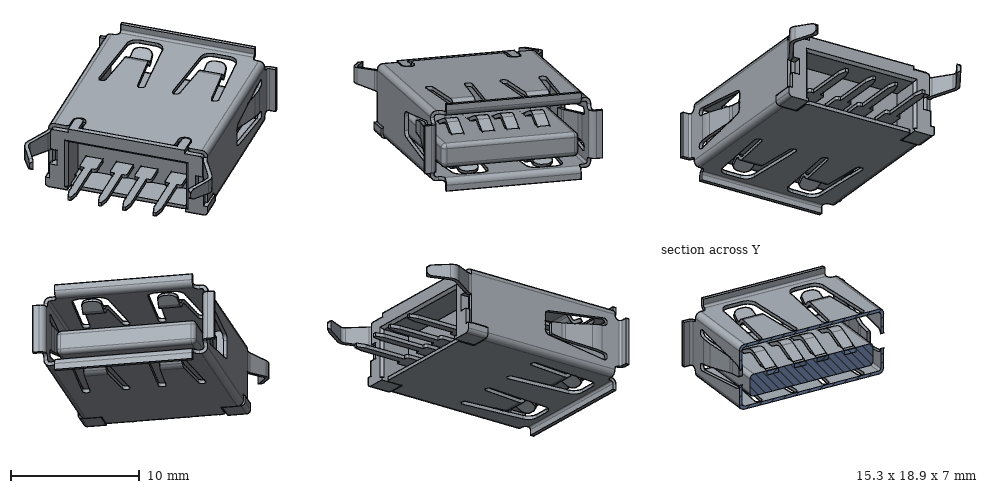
import cadquery as cq
import math


SHEET = 0.3
BEND_RADIUS = 0.19
OUTER_BEND_RADIUS = BEND_RADIUS + SHEET
SHELL_WIDTH = 13.05
SHELL_HEIGHT = 5.65
HALF_WIDTH = SHELL_WIDTH / 2
HALF_HEIGHT = SHELL_HEIGHT / 2
INNER_HALF_WIDTH = HALF_WIDTH - SHEET
INNER_HALF_HEIGHT = HALF_HEIGHT - SHEET
MOUTH_Y = 14.97
SHELL_FRONT_Y = 0.42
TUBE_END_Y = 14.12

FLANGED_HEIGHT = 7.0
FLANGED_WIDTH = 14.44
WIDE_FLANGE = 10.96
SIDE_FLANGE = 3.85
FLANGE_FILLET = 0.4

TOP_SPRING_X = 3.02
TOP_SPRING_ROOT_Y = 7.8
TOP_SLOT_WIDTH = 0.6
TOP_SLOT_SPACING = 1.59
TOP_WINDOW_TAPER = 0.08
TOP_SPRING_TAPER = 0.1
TOP_WINDOW_LENGTH = 6.18
TOP_WINDOW_CORNER = 0.81
TOP_SPRING_TIP_RADIUS = 0.72
TOP_SPRING_LENGTH = 5.25
TOP_SPRING_DROP_START = 3.67
TOP_SPRING_VALLEY = 4.21
TOP_SPRING_VALLEY_DEPTH = 0.6
TOP_SPRING_TIP_DEPTH = 0.02
TOP_SPRING_DROP_RADIUS = 0.38

SIDE_SPRING_ROOT_Y = 13.06
SIDE_SLOT_WIDTH = 0.62
SIDE_SLOT_SPACING = 1.45
SIDE_SPRING_TAPER = 0.14
SIDE_WINDOW_LENGTH = 5.61
SIDE_WINDOW_CORNER = 0.45
SIDE_SPRING_TIP_RADIUS = 0.15
SIDE_SPRING_LENGTH = 4.57
SIDE_SPRING_DROP_START = 0.6
SIDE_SPRING_VALLEY = 3.42
SIDE_SPRING_VALLEY_DEPTH = 0.6
SIDE_SPRING_DROP_RADIUS = 3.69
SIDE_SPRING_VALLEY_RADIUS = 1.63

U_SLOT_X = 4.33
U_SLOT_WIDTH = 1.08
U_SLOT_END_Y = 1.83
SLOT_MOUTH_FILLET = 0.2
POST_X = 4.4
POST_WIDTH = 0.74
POST_END_Y = 1.74

FOOT_NOTCH_X = 4.75
FOOT_NOTCH_END_Y = 1.89
FOOT_NOTCH_TOP_Z = -1.85
FOOT_OUTER_X = 6.65
FOOT_TOP_Z = -1.97
FOOT_BOTTOM_Z = -2.8
FOOT_END_Y = 1.87
FOOT_RADIUS = 0.32

LEG_REACH = 7.64
LEG_ANGLE = 30.0
LEG_TIP_Y = -3.93
LEG_ELBOW_RADIUS = 0.5
LEG_ROOT_RADIUS = LEG_ELBOW_RADIUS + SHEET
LEG_TOP_Z = 2.29
LEG_BOTTOM_Z = 0.51
LEG_TIP_TOP_Z = 1.85
LEG_TIP_BOTTOM_Z = 1.0
LEG_TIP_RADIUS = 0.4

HOUSING_END_Y = 4.54
BACK_WALL_Y = 2.57
OPENING_HALF_WIDTH = 4.84
OPENING_TOP_Z = 1.53
OPENING_CHAMFER = 0.23
BODY_BOTTOM_Z = -2.38
RIM_HALF_WIDTH = 4.76
CHEEK_HALF_WIDTH = 6.31
SIDE_NOTCH_X = 5.67
SIDE_NOTCH_HALF_HEIGHT = 0.68
SIDE_NOTCH_DEPTH = 0.7
SIDE_NOTCH_RAMP_WIDTH = 0.17
TONGUE_HALF_WIDTH = 5.55
TONGUE_TOP_Z = 0.04
TONGUE_BOTTOM_Z = -1.89
TONGUE_END_Y = 14.14
TONGUE_RADIUS = 0.35

CIRCUIT_X = (-3.5, -1.0, 1.0, 3.5)
PIN_WIDTH = 0.62
PIN_THICKNESS = 0.3
PIN_Z = -1.23
PIN_TIP_Y = -3.45
PIN_TAPER_Y = -2.7
PIN_TIP_WIDTH = 0.25
PAD_WIDTH = 1.4
PAD_FRONT_Y = 0.96
PAD_END_Y = 3.4
PAD_CORNER = 0.19
CONTACT_WIDTH = 1.0
CONTACT_THICKNESS = 0.3
CONTACT_ROOT_Y = 5.67
CONTACT_RISE_Y = 7.56
CONTACT_CREST_Y = 9.9
CONTACT_CREST_HEIGHT = 0.87
CONTACT_TIP_Y = 11.9
CONTACT_DEPTH = 0.08
CONTACT_TIP_DEPTH = 0.19
CONTACT_CREST_RADIUS = 0.75


def box(x0, x1, y0, y1, z0, z1):
    return cq.Workplane("XY").box(x1 - x0, y1 - y0, z1 - z0, centered=False).translate((x0, y0, z0))


def both_sides(solid):
    """The solid together with its mirror image across X = 0."""
    return solid.union(solid.mirror("YZ"))


def outline(plane, corners):
    """Closed outline through (u, v, radius) corners, each rounded by its radius."""
    stops = []
    for i, (u, v, radius) in enumerate(corners):
        here = cq.Vector(u, v)
        before = (cq.Vector(*corners[i - 1][:2]) - here).normalized()
        after = (cq.Vector(*corners[(i + 1) % len(corners)][:2]) - here).normalized()
        if radius == 0:
            stops.append((here, None, here))
            continue
        half_angle = before.getAngle(after) / 2
        tangent = radius / math.tan(half_angle)
        sagitta = radius / math.sin(half_angle) - radius
        middle = here + (before + after).normalized() * sagitta
        stops.append((here + before * tangent, middle, here + after * tangent))
    wire = cq.Workplane(plane).moveTo(*stops[-1][2].toTuple()[:2])
    for entry, middle, leave in stops:
        wire = wire.lineTo(*entry.toTuple()[:2])
        if middle is not None:
            wire = wire.threePointArc(middle.toTuple()[:2], leave.toTuple()[:2])
    return wire.close()


def strip_corners(path, thickness):
    """Outline corners of a bent strip: `path` is one face, the metal lies on its left.

    Each path point is (u, v, inside bend radius)."""
    points = [cq.Vector(u, v) for u, v, _ in path]
    steps = [(end - start).normalized() for start, end in zip(points, points[1:])]
    near = []
    far = []
    for i, point in enumerate(points):
        step_in = steps[max(i - 1, 0)]
        step_out = steps[min(i, len(steps) - 1)]
        normal_in = cq.Vector(-step_in.y, step_in.x)
        normal_out = cq.Vector(-step_out.y, step_out.x)
        miter = normal_in + normal_out
        offset = point + miter * (thickness / (1 + normal_in.dot(normal_out)))
        turns_left = step_in.cross(step_out).z > 0
        bend = path[i][2]
        outer_bend = bend + thickness if bend else 0
        near.append((point.x, point.y, outer_bend if turns_left else bend))
        far.append((offset.x, offset.y, bend if turns_left else outer_bend))
    return near + far[::-1]


def tapered_tongue(plane, half_width, taper, length, corner):
    """Outline from v = 0, `half_width` wide there, narrowing to rounded corners at v = length."""
    tip = half_width - taper * length
    root_corners = [(-half_width, 0, 0), (half_width, 0, 0)]
    tip_corners = [(tip, length, corner), (-tip, length, corner)]
    return outline(plane, root_corners + tip_corners)


def spring_window(spacing, slot_width, taper, length, corner):
    """Cutter for the window around a spring, its root at the origin and its tip towards +Y."""
    reach = 4 * SHEET
    window = tapered_tongue("XY", spacing + slot_width / 2, taper, length, corner).extrude(reach, both=True)
    root_ends = (
        cq.Workplane("XY")
        .pushPoints([(-spacing, 0), (spacing, 0)])
        .circle(slot_width / 2)
        .extrude(reach, both=True)
    )
    return window.union(root_ends)


def bent_spring(half_width, taper, length, tip_radius, path):
    """Bent leaf with its outer face at Z = 0 at the root; `path` follows that face."""
    profile = outline("YZ", strip_corners(path[::-1], SHEET)).extrude(half_width, both=True)
    plan = tapered_tongue("XY", half_width, taper, 2 * length, 0).extrude(length, both=True)

    (valley_y, valley_z, _), (tip_y, tip_z, _) = path[-2:]
    tilt = math.degrees(math.atan2(tip_z - valley_z, tip_y - valley_y))
    tip_shape = tapered_tongue("XY", half_width + taper * length, 2 * taper, length, tip_radius)
    tip_shape = tip_shape.extrude(length, both=True).rotate((0, length, 0), (1, length, 0), tilt)
    return profile.intersect(plan).intersect(tip_shape.translate((0, 0, tip_z)))


def top_spring_parts():
    window = spring_window(
        TOP_SLOT_SPACING, TOP_SLOT_WIDTH, TOP_WINDOW_TAPER, TOP_WINDOW_LENGTH, TOP_WINDOW_CORNER
    )
    path = [
        (0, 0, 0),
        (TOP_SPRING_DROP_START, 0, TOP_SPRING_DROP_RADIUS),
        (TOP_SPRING_VALLEY, -TOP_SPRING_VALLEY_DEPTH, BEND_RADIUS),
        (TOP_SPRING_LENGTH, -TOP_SPRING_TIP_DEPTH, 0),
    ]
    leaf = bent_spring(
        TOP_SLOT_SPACING - TOP_SLOT_WIDTH / 2,
        TOP_SPRING_TAPER,
        TOP_SPRING_LENGTH,
        TOP_SPRING_TIP_RADIUS,
        path,
    )
    place = (TOP_SPRING_X, TOP_SPRING_ROOT_Y, HALF_HEIGHT)
    return window.translate(place), leaf.translate(place)


def side_spring_parts():
    window = spring_window(
        SIDE_SLOT_SPACING, SIDE_SLOT_WIDTH, SIDE_SPRING_TAPER, SIDE_WINDOW_LENGTH, SIDE_WINDOW_CORNER
    )
    path = [
        (0, 0, 0),
        (SIDE_SPRING_DROP_START, 0, SIDE_SPRING_DROP_RADIUS),
        (SIDE_SPRING_VALLEY, -SIDE_SPRING_VALLEY_DEPTH, SIDE_SPRING_VALLEY_RADIUS),
        (SIDE_SPRING_LENGTH, -SIDE_SPRING_VALLEY_DEPTH, 0),
    ]
    leaf = bent_spring(
        SIDE_SLOT_SPACING - SIDE_SLOT_WIDTH / 2,
        SIDE_SPRING_TAPER,
        SIDE_SPRING_LENGTH,
        SIDE_SPRING_TIP_RADIUS,
        path,
    )

    def turned_to_side(solid):
        origin = (0, 0, 0)
        facing_mouth = solid.rotate(origin, (0, 1, 0), 90).rotate(origin, (1, 0, 0), 180)
        return facing_mouth.translate((HALF_WIDTH, SIDE_SPRING_ROOT_Y, 0))

    return turned_to_side(window), turned_to_side(leaf)


def flange(length, face_distance, rim_distance):
    """Flared flange on a face `face_distance` above the axis, ending at `rim_distance`."""
    path = [
        (MOUTH_Y, rim_distance, 0),
        (MOUTH_Y, face_distance - SHEET, BEND_RADIUS),
        (TUBE_END_Y, face_distance - SHEET, 0),
    ]
    sheet = outline("YZ", strip_corners(path[::-1], SHEET)).extrude(length, both=True)
    half = length / 2
    root = half + FLANGE_FILLET
    shoulder_y = TUBE_END_Y + FLANGE_FILLET
    inset = FLANGE_FILLET * (1 - math.sqrt(0.5))
    plan = (
        cq.Workplane("XY")
        .moveTo(-root, TUBE_END_Y)
        .lineTo(root, TUBE_END_Y)
        .threePointArc((half + inset, TUBE_END_Y + inset), (half, shoulder_y))
        .lineTo(half, MOUTH_Y)
        .lineTo(-half, MOUTH_Y)
        .lineTo(-half, shoulder_y)
        .threePointArc((-half - inset, TUBE_END_Y + inset), (-root, TUBE_END_Y))
        .close()
        .extrude(2 * rim_distance)
    )
    return sheet.intersect(plan)


def board_lock_leg():
    """Leg that bends outwards from the side wall and back inwards at its elbow."""
    angle = math.radians(LEG_ANGLE)
    slope = math.tan(angle)
    wall_y = SHELL_FRONT_Y + SHEET
    root_y = SHELL_FRONT_Y - LEG_ROOT_RADIUS * math.tan(angle / 2)
    apex_x = LEG_REACH + (LEG_ELBOW_RADIUS + SHEET) * (1 / math.cos(angle) - 1)
    apex_y = root_y - (apex_x - HALF_WIDTH) / slope
    tip_x = apex_x - (apex_y - LEG_TIP_Y) * slope
    path = [
        (HALF_WIDTH, wall_y, 0),
        (HALF_WIDTH, root_y, LEG_ROOT_RADIUS),
        (apex_x, apex_y, LEG_ELBOW_RADIUS),
        (tip_x, LEG_TIP_Y, 0),
    ]
    strip = outline("XY", strip_corners(path[::-1], SHEET)).extrude(HALF_HEIGHT)
    side_shape = outline(
        "YZ",
        [
            (wall_y, LEG_BOTTOM_Z, 0),
            (wall_y, LEG_TOP_Z, 0),
            (LEG_TIP_Y, LEG_TIP_TOP_Z, LEG_TIP_RADIUS),
            (LEG_TIP_Y, LEG_TIP_BOTTOM_Z, LEG_TIP_RADIUS),
        ],
    ).extrude(apex_x)
    return strip.intersect(side_shape)


def rounded_block(width, height, radius, y0, y1):
    block = box(-width / 2, width / 2, y0, y1, -height / 2, height / 2)
    return block.edges("|Y").fillet(radius)


def u_shape(x, width, end_y):
    """Round-ended block through the top sheet, open at the board side."""
    half = width / 2
    return (
        cq.Workplane("XY", origin=(0, 0, INNER_HALF_HEIGHT))
        .moveTo(x - half, 0)
        .lineTo(x + half, 0)
        .lineTo(x + half, end_y - half)
        .threePointArc((x, end_y), (x - half, end_y - half))
        .close()
        .extrude(SHEET)
    )


def make_shell():
    shell = rounded_block(SHELL_WIDTH, SHELL_HEIGHT, OUTER_BEND_RADIUS, SHELL_FRONT_Y, TUBE_END_Y)
    shell = shell.cut(
        rounded_block(2 * INNER_HALF_WIDTH, 2 * INNER_HALF_HEIGHT, BEND_RADIUS, SHELL_FRONT_Y, TUBE_END_Y)
    )

    top_flange = flange(WIDE_FLANGE, HALF_HEIGHT, FLANGED_HEIGHT / 2)
    side_flange = flange(SIDE_FLANGE, HALF_WIDTH, FLANGED_WIDTH / 2).rotate((0, 0, 0), (0, 1, 0), 90)
    shell = shell.union(top_flange).union(top_flange.mirror("XY")).union(both_sides(side_flange))

    top_window, top_leaf = top_spring_parts()
    top_window = both_sides(top_window)
    top_leaf = both_sides(top_leaf)
    side_window, side_leaf = side_spring_parts()
    shell = shell.cut(top_window).cut(top_window.mirror("XY")).cut(both_sides(side_window))
    shell = shell.union(top_leaf).union(top_leaf.mirror("XY")).union(both_sides(side_leaf))

    slot = u_shape(U_SLOT_X, U_SLOT_WIDTH, U_SLOT_END_Y)
    shell = shell.cut(both_sides(slot))

    notch = box(FOOT_NOTCH_X, FOOT_OUTER_X, SHELL_FRONT_Y, FOOT_NOTCH_END_Y, -HALF_HEIGHT, FOOT_NOTCH_TOP_Z)
    shell = shell.cut(both_sides(notch))

    front_corners = cq.selectors.BoxSelector(
        (-RIM_HALF_WIDTH - U_SLOT_WIDTH, SHELL_FRONT_Y - SHEET, -HALF_HEIGHT),
        (RIM_HALF_WIDTH + U_SLOT_WIDTH, SHELL_FRONT_Y + SHEET, HALF_HEIGHT),
    )
    shell = shell.edges("|Z").edges(front_corners).fillet(SLOT_MOUTH_FILLET)
    return shell.union(both_sides(board_lock_leg()))


def make_tongue():
    tongue = box(
        -TONGUE_HALF_WIDTH, TONGUE_HALF_WIDTH, BACK_WALL_Y, TONGUE_END_Y, TONGUE_BOTTOM_Z, TONGUE_TOP_Z
    )
    return tongue.edges(">Y or |Y").fillet(TONGUE_RADIUS)


def make_opening():
    """Pocket around the pin pads, open at the front and below, with a chamfered front edge."""
    wide = OPENING_HALF_WIDTH + OPENING_CHAMFER
    high = OPENING_TOP_Z + OPENING_CHAMFER
    pocket = box(
        -OPENING_HALF_WIDTH, OPENING_HALF_WIDTH, 0, BACK_WALL_Y, -HALF_HEIGHT, OPENING_TOP_Z
    )
    flare = (
        cq.Workplane("XZ")
        .moveTo(0, (high - INNER_HALF_HEIGHT) / 2)
        .rect(2 * wide, high + INNER_HALF_HEIGHT)
        .workplane(offset=-OPENING_CHAMFER)
        .moveTo(0, (OPENING_TOP_Z - INNER_HALF_HEIGHT) / 2)
        .rect(2 * OPENING_HALF_WIDTH, OPENING_TOP_Z + INNER_HALF_HEIGHT)
        .loft(ruled=True)
    )
    return pocket.union(flare)


def make_housing():
    housing = rounded_block(2 * INNER_HALF_WIDTH, 2 * INNER_HALF_HEIGHT, BEND_RADIUS, 0, HOUSING_END_Y)

    rim = box(-RIM_HALF_WIDTH, RIM_HALF_WIDTH, 0, SHELL_FRONT_Y, 0, HALF_HEIGHT)
    posts = both_sides(u_shape(POST_X, POST_WIDTH, POST_END_Y))
    cheeks = box(
        -CHEEK_HALF_WIDTH, CHEEK_HALF_WIDTH, 0, SHELL_FRONT_Y, FOOT_TOP_Z, -SIDE_NOTCH_HALF_HEIGHT
    )
    foot = box(OPENING_HALF_WIDTH, FOOT_OUTER_X, 0, FOOT_END_Y, FOOT_BOTTOM_Z, FOOT_TOP_Z)
    foot = foot.edges("|Y and >X and <Z").fillet(FOOT_RADIUS)
    housing = housing.union(rim).union(posts).union(cheeks).union(both_sides(foot))

    housing = housing.cut(make_opening())
    housing = housing.cut(
        box(-OPENING_HALF_WIDTH, OPENING_HALF_WIDTH, 0, HOUSING_END_Y, -HALF_HEIGHT, BODY_BOTTOM_Z)
    )
    side_notch = outline(
        "XY",
        [
            (SIDE_NOTCH_X, 0, 0),
            (CHEEK_HALF_WIDTH, 0, 0),
            (CHEEK_HALF_WIDTH, SHELL_FRONT_Y, 0),
            (INNER_HALF_WIDTH, SHELL_FRONT_Y, 0),
            (INNER_HALF_WIDTH - SIDE_NOTCH_RAMP_WIDTH, SIDE_NOTCH_DEPTH, 0),
            (SIDE_NOTCH_X, SIDE_NOTCH_DEPTH, 0),
        ],
    ).extrude(SIDE_NOTCH_HALF_HEIGHT, both=True)
    housing = housing.cut(both_sides(side_notch))
    return housing.union(make_tongue())


def make_pin(x):
    half = PIN_WIDTH / 2
    half_tip = PIN_TIP_WIDTH / 2
    half_pad = PAD_WIDTH / 2
    right = [
        (half_tip, PIN_TIP_Y, 0),
        (half, PIN_TAPER_Y, 0),
        (half, PAD_FRONT_Y, 0),
        (half_pad, PAD_FRONT_Y, PAD_CORNER),
        (half_pad, PAD_END_Y, 0),
    ]
    left = [(-u, v, radius) for u, v, radius in reversed(right)]
    pin = outline("XY", right + left).extrude(PIN_THICKNESS)
    return pin.translate((x, 0, PIN_Z - PIN_THICKNESS / 2))


def make_contact(x):
    root_z = TONGUE_TOP_Z - CONTACT_DEPTH
    path = [
        (CONTACT_ROOT_Y, root_z, 0),
        (CONTACT_RISE_Y, root_z, BEND_RADIUS),
        (CONTACT_CREST_Y, TONGUE_TOP_Z + CONTACT_CREST_HEIGHT, CONTACT_CREST_RADIUS),
        (CONTACT_TIP_Y, TONGUE_TOP_Z - CONTACT_TIP_DEPTH, 0),
    ]
    contact = outline("YZ", strip_corners(path[::-1], CONTACT_THICKNESS))
    return contact.extrude(CONTACT_WIDTH / 2, both=True).translate((x, 0, 0))


shell = make_shell()
pins = [make_pin(x) for x in CIRCUIT_X]
contacts = [make_contact(x) for x in CIRCUIT_X]
housing = make_housing()
for inlay in pins + contacts:
    housing = housing.cut(inlay)

result = cq.Compound.makeCompound(
    [shell.val(), housing.val()] + [pin.val() for pin in pins] + [contact.val() for contact in contacts]
)